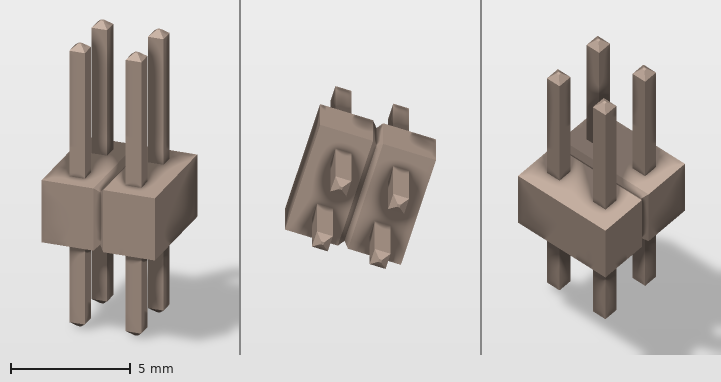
import cadquery as cq

pitch = 2.54
rows = 2
columns = 2

housing_length = 5.09
housing_depth = 4.83
housing_height = 2.85
groove_depth = 0.22

pin_width = 0.7
pin_length = 12.94
pin_bottom = -4.09
tip_height = 0.26
tip_width = 0.13


def make_pin(x, y):
    """Square pin tapering to a small flat at both ends."""
    shank_length = pin_length - 2 * tip_height
    shank_bottom = pin_bottom + tip_height
    shank_top = shank_bottom + shank_length
    shank = cq.Workplane("XY", origin=(x, y, shank_bottom)).rect(pin_width, pin_width).extrude(shank_length)
    upper_tip = make_tip(x, y, shank_top, tip_height)
    lower_tip = make_tip(x, y, shank_bottom, -tip_height)
    return shank.union(upper_tip).union(lower_tip)


def make_tip(x, y, base_z, rise):
    """Truncated pyramid from the shank end; a negative rise points it down."""
    return (
        cq.Workplane("XY", origin=(x, y, base_z))
        .rect(pin_width, pin_width)
        .workplane(offset=rise)
        .rect(tip_width, tip_width)
        .loft(ruled=True)
    )


def make_half(side):
    """Half of the block on one side of X = 0; its inner end face is chamfered all round."""
    half_length = housing_length / 2
    inner_face = "<X" if side > 0 else ">X"
    return (
        cq.Workplane("XY")
        .box(half_length, housing_depth, housing_height, centered=(True, True, False))
        .translate((side * half_length / 2, 0, 0))
        .faces(inner_face)
        .chamfer(groove_depth)
    )


def make_housing(pins):
    """Two chamfered halves joined, leaving a V groove all round, with a snug hole for each pin."""
    housing = make_half(-1).union(make_half(1))
    for pin in pins:
        housing = housing.cut(pin)
    return housing


pins = [
    make_pin((column - (columns - 1) / 2) * pitch, (row - (rows - 1) / 2) * pitch)
    for column in range(columns)
    for row in range(rows)
]
housing = make_housing(pins)

result = cq.Compound.makeCompound([housing.val(), *[pin.val() for pin in pins]])